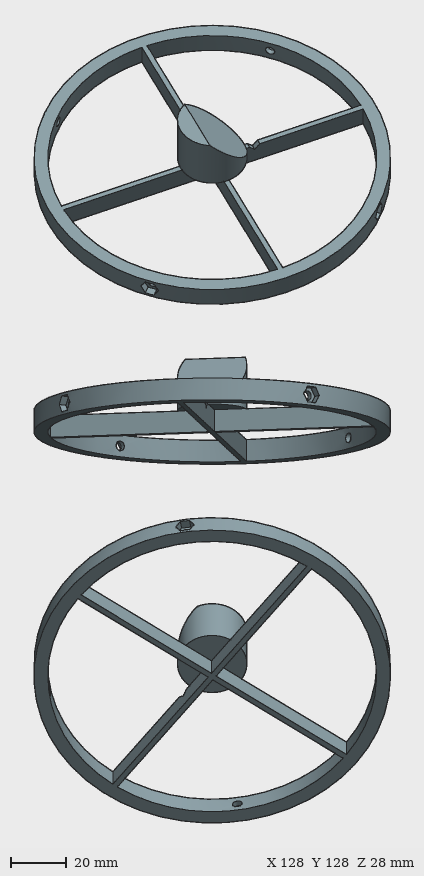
import cadquery as cq
import math

outer_diameter = 128
rim_thickness = 5.0
rim_height = 8.0
rim_radius = outer_diameter / 2
inner_radius = rim_radius - rim_thickness

spoke_width = 2.0
hub_diameter = 25.0
total_height = 28.0
bevel_start_y = -5.9
notch_bottom_y = 16.3

screw_diameter = 3.5
nut_across_flats = 5.8
nut_pocket_depth = 3.0
hole_angles = (45, 135, 225, 315)


def make_rim():
    return cq.Workplane("XY").circle(rim_radius).circle(inner_radius).extrude(rim_height)


def make_spokes():
    length = 2 * inner_radius + rim_thickness
    bar_x = cq.Workplane("XY").rect(length, spoke_width).extrude(rim_height)
    bar_y = cq.Workplane("XY").rect(spoke_width, length).extrude(rim_height)
    return bar_x.union(bar_y)


def make_hub():
    height = total_height - rim_height
    return cq.Workplane("XY").workplane(offset=rim_height).circle(hub_diameter / 2).extrude(height)


def make_bevel_cutter():
    notch_bottom_z = total_height - (notch_bottom_y - bevel_start_y)
    end_wall_rise = total_height - notch_bottom_z
    profile = [
        (bevel_start_y, total_height),
        (notch_bottom_y, notch_bottom_z),
        (notch_bottom_y + end_wall_rise, total_height),
    ]
    return cq.Workplane("YZ").polyline(profile).close().extrude(hub_diameter / 2, both=True)


def make_screw_cutter(angle):
    nut_across_corners = nut_across_flats / math.cos(math.radians(30))
    start = inner_radius - rim_thickness
    pocket_floor = rim_radius - nut_pocket_depth
    hole = cq.Workplane("YZ", origin=(start, 0, rim_height / 2))
    hole = hole.circle(screw_diameter / 2).extrude(rim_radius - start)
    pocket = cq.Workplane("YZ", origin=(pocket_floor, 0, rim_height / 2))
    pocket = pocket.polygon(6, nut_across_corners).extrude(2 * nut_pocket_depth)
    return hole.union(pocket).rotate((0, 0, 0), (0, 0, 1), angle)


result = make_rim().union(make_spokes()).union(make_hub()).cut(make_bevel_cutter())
for hole_angle in hole_angles:
    result = result.cut(make_screw_cutter(hole_angle))